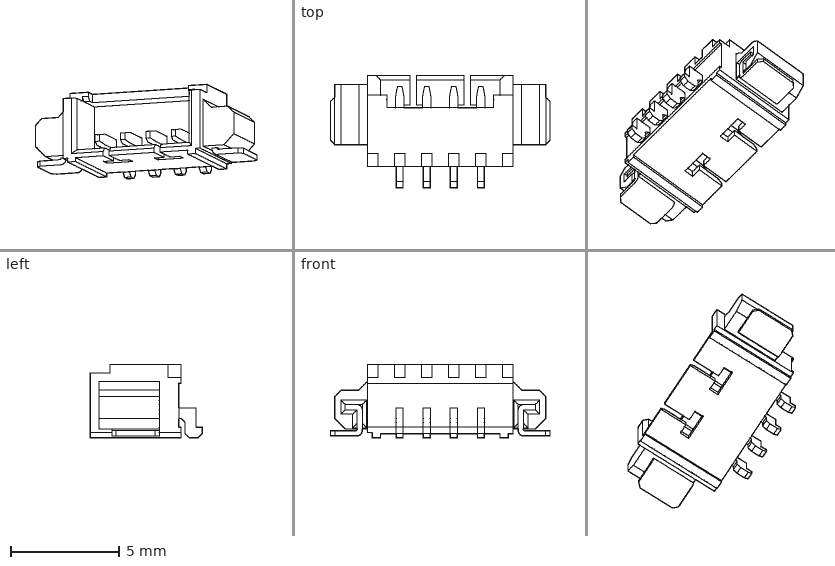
import cadquery as cq


total_length = 10.15
total_height = 3.4

contact_count = 4
pitch = 1.25
lead_width = 0.32
lead_top = 1.39
lead_bottom = 0.89
foot_reach = 0.98
heel_y = -0.17
toe_top_y = -0.69
foot_top = 0.5
foot_chamfer = 0.2
blade_width = 0.4
blade_embed = 0.61
blade_taper = 0.49
blade_taper_inset = 0.09

housing_depth = 4.21
notch_width = 0.5
notch_depth = 0.61
housing_half = (contact_count + 1) * pitch / 2 + notch_width / 2
housing_base = 0.18
left_base = 0.24
rail_inset = 0.22
rail_width = 0.39
recess_depth = 0.1
recess_bottom = 0.5
recess_top = 2.52

wall_thickness = 0.61
cavity_half = housing_half - wall_thickness
cavity_floor = 0.59
cavity_ceiling = 3.0
cavity_depth = 2.54
lead_in = 0.2
roof_setback = 0.91
roof_opening_half = 2.47
roof_opening_setback = 1.49
key_slot_width = 0.29
key_slot_depth = 1.37
window_end = 1.83
blade_tip_setback = 0.52

ear_half = 4.88
ear_front = 1.0
ear_back = 3.8
ear_bottom = 0.41
ear_top = 2.21
ear_top_chamfer = 0.3
ear_bottom_chamfer = 0.49
ear_gusset = 0.4

nail_thickness = 0.24
nail_length = 2.2
nail_back = ear_front + nail_length
nail_bottom = 0.09
nail_arm_top = 1.54
nail_arm_half = 4.4
nail_leg_inner = 3.6
nail_leg_outer = nail_leg_inner + nail_thickness
nail_bend_radius = 0.24
nail_inner_radius = 0.05
nail_corner_chamfer = 0.2
nail_pocket_flare = 0.2
nail_slot_bottom = 0.67

contact_places = [(i - (contact_count - 1) / 2) * pitch for i in range(contact_count)]
mouth = housing_depth


def block(x_min, x_max, y_min, y_max, z_min, z_max):
    size = (x_max - x_min, y_max - y_min, z_max - z_min)
    return cq.Workplane("XY").box(*size, centered=False).translate((x_min, y_min, z_min))


def extrude_along_y(points, y_start, y_end):
    """Solid from an (x, z) outline, running from y_start to y_end."""
    return cq.Workplane("XZ", origin=(0, y_start, 0)).polyline(points).close().extrude(y_start - y_end)


def housing_shell():
    body = block(-housing_half, housing_half, 0, mouth, housing_base, total_height)
    body = body.cut(block(-housing_half, -housing_half + rail_inset, 0, mouth, housing_base, left_base))
    rail_start = housing_half - rail_inset - rail_width
    rail = block(rail_start, rail_start + rail_width, 0, mouth, 0, housing_base)
    body = body.union(rail).union(rail.mirror("YZ"))
    body = body.cut(block(-housing_half, housing_half, 0, recess_depth, recess_bottom, recess_top))
    for i in range(contact_count + 2):
        x = (i - (contact_count + 1) / 2) * pitch
        half = notch_width / 2
        body = body.cut(block(x - half, x + half, 0, notch_depth, total_height - notch_depth, total_height))
    return body


def cut_cavity(body):
    roof_edge = mouth - roof_setback
    opening_edge = mouth - roof_opening_setback
    body = body.cut(block(-housing_half, housing_half, roof_edge, mouth, cavity_ceiling, total_height))
    body = body.cut(
        block(-roof_opening_half, roof_opening_half, opening_edge, mouth, cavity_ceiling, total_height)
    )
    body = body.cut(
        block(-cavity_half, cavity_half, mouth - cavity_depth, mouth, cavity_floor, cavity_ceiling)
    )
    lead_in_cut = (
        cq.Workplane("XZ", origin=(0, mouth, 0))
        .center(0, cavity_ceiling)
        .rect(2 * (cavity_half + lead_in), 2 * (cavity_ceiling - cavity_floor + lead_in))
        .workplane(offset=lead_in)
        .rect(2 * cavity_half, 2 * (cavity_ceiling - cavity_floor))
        .loft(ruled=True)
    )
    body = body.cut(lead_in_cut)
    roof_lead_in = (
        cq.Workplane("YZ", origin=(-cavity_half, 0, 0))
        .moveTo(roof_edge, cavity_ceiling)
        .lineTo(roof_edge, cavity_ceiling + lead_in)
        .lineTo(roof_edge - lead_in, cavity_ceiling)
        .close()
        .extrude(2 * cavity_half)
    )
    body = body.cut(roof_lead_in)
    for x in (-pitch, pitch):
        slot_end = mouth - key_slot_depth
        half = key_slot_width / 2
        body = body.cut(block(x - half, x + half, slot_end, mouth, 0, cavity_floor))
        body = body.cut(
            block(x - pitch / 2, x + pitch / 2, mouth - window_end, slot_end, 0, cavity_floor)
        )
    return body


def pocket_outline(flare):
    """Outline of the nail pocket in the right-hand ear, grown by flare on every side."""
    arm_bottom = nail_arm_top - nail_thickness
    return [
        (nail_leg_inner - flare, nail_arm_top + flare),
        (nail_arm_half + flare, nail_arm_top + flare),
        (nail_arm_half + flare, arm_bottom - flare),
        (nail_leg_outer + flare, arm_bottom - flare),
        (nail_leg_outer + flare, nail_slot_bottom - flare),
        (nail_leg_inner - flare, nail_slot_bottom - flare),
    ]


def ear():
    """Right-hand ear with its flared nail pocket."""
    outline = [
        (housing_half, ear_bottom),
        (ear_half - ear_bottom_chamfer, ear_bottom),
        (ear_half, ear_bottom + ear_bottom_chamfer),
        (ear_half, ear_top - ear_top_chamfer),
        (ear_half - ear_top_chamfer, ear_top),
        (housing_half + ear_gusset, ear_top),
        (housing_half, ear_top + ear_gusset),
    ]
    flared_mouth = (
        cq.Workplane("XZ", origin=(0, ear_front, 0))
        .polyline(pocket_outline(nail_pocket_flare))
        .close()
        .workplane(offset=-nail_pocket_flare)
        .polyline(pocket_outline(0))
        .close()
        .loft(ruled=True)
    )
    slot = extrude_along_y(pocket_outline(0), ear_front, nail_back)
    return extrude_along_y(outline, ear_front, ear_back).cut(flared_mouth).cut(slot)


def nail():
    """Right-hand nail: arm in the ear, leg down through it, and a solder tab running outward."""
    tab_end = total_length / 2
    tab_top = nail_bottom + nail_thickness
    arm_bottom = nail_arm_top - nail_thickness
    outline = [
        (nail_arm_half, nail_arm_top),
        (nail_leg_inner, nail_arm_top),
        (nail_leg_inner, nail_bottom),
        (tab_end, nail_bottom),
        (tab_end, tab_top),
        (nail_leg_outer, tab_top),
        (nail_leg_outer, arm_bottom),
        (nail_arm_half, arm_bottom),
    ]
    strip = extrude_along_y(outline, ear_front, nail_back)
    strip = strip.edges("|Y and <X").fillet(nail_bend_radius)
    inner_bend = cq.selectors.NearestToPointSelector((nail_leg_outer, (ear_front + nail_back) / 2, tab_top))
    strip = strip.edges(inner_bend).fillet(nail_inner_radius)
    return strip.edges("|Z and >X").chamfer(nail_corner_chamfer)


def contact():
    """Contact at X = 0: tapered blade in the cavity and a lead stepping down to the solder foot."""
    blade_start = mouth - cavity_depth - blade_embed
    lead = (
        cq.Workplane("YZ", origin=(-lead_width / 2, 0, 0))
        .moveTo(mouth - cavity_depth, lead_top)
        .lineTo(toe_top_y, lead_top)
        .lineTo(toe_top_y, foot_top)
        .lineTo(-foot_reach, foot_top)
        .lineTo(-foot_reach, foot_chamfer)
        .lineTo(-foot_reach + foot_chamfer, 0)
        .lineTo(heel_y - foot_chamfer, 0)
        .lineTo(heel_y, foot_chamfer)
        .lineTo(heel_y, lead_bottom + heel_y)
        .lineTo(0, lead_bottom)
        .lineTo(mouth - cavity_depth, lead_bottom)
        .close()
        .extrude(lead_width)
    )
    blade_height = lead_top - lead_bottom
    shoulder_y = mouth - blade_tip_setback - blade_taper
    half = blade_width / 2
    blade = block(-half, half, blade_start, shoulder_y, lead_bottom, lead_top)
    tip = (
        cq.Workplane("XZ", origin=(0, shoulder_y, (lead_top + lead_bottom) / 2))
        .rect(blade_width, blade_height)
        .workplane(offset=-blade_taper)
        .rect(blade_width - 2 * blade_taper_inset, blade_height - 2 * blade_taper_inset)
        .loft(ruled=True)
    )
    return lead.union(blade).union(tip)


result = cut_cavity(housing_shell())
end_fitting = ear().union(nail())
result = result.union(end_fitting).union(end_fitting.mirror("YZ"))
for place in contact_places:
    result = result.union(contact().translate((place, 0, 0)))